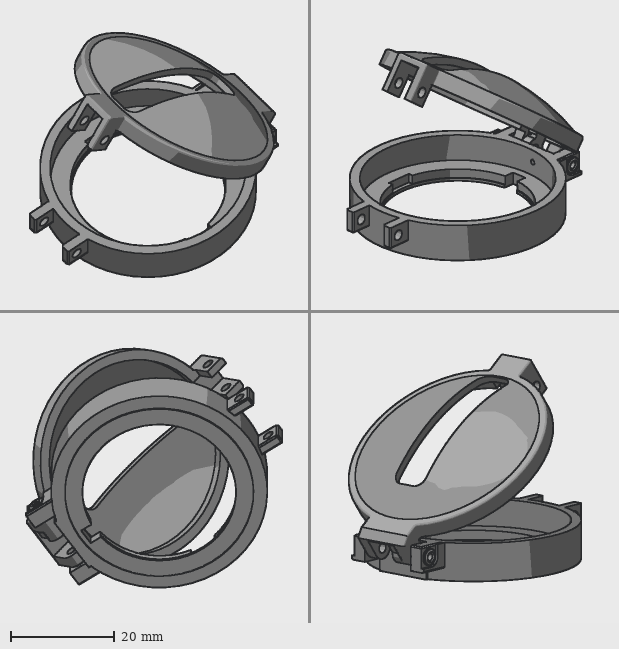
import cadquery as cq
import math

ring_radius = 20.95
pocket_radius = 19.0
ring_top = 7.9
foot_radius = 18.3
foot_height = 0.3
base_chamfer = 0.3

hinge_y = 22.85
hinge_z = 5.65
lug_reach = 25.05
hinge_reach = lug_reach - hinge_y
opening_angle = 36.1

floor_top = 2.45
opening_radius = 15.1
lip_radius = 14.9
lip_height = 0.65
key_width = 3.3
key_reach = 17.2
side_pocket_length = 5.55
side_pocket_reach = 15.85

latch_lug_inner = 4.0
latch_lug_outer = 6.0
latch_lug_height = 4.55
latch_hole_diameter = 2.1

knuckle_half_width = 6.0
hinge_lug_outer = 9.3
hinge_lug_bottom = 2.85
hinge_lug_root_y = 17.8
recess_depth = 0.65
recess_radius = 2.0
hub_diameter = 3.3
pin_hole_diameter = 1.4
hinge_clearance = 0.05
hinge_back_y = hinge_y - hinge_reach - hinge_clearance

spring_port_diameter = 1.0
spring_port_x = 2.0
spring_port_z = 5.35

rim_height = 3.3
rim_top = ring_top + rim_height
plate_thickness = 1.35
ceiling_z = rim_top - plate_thickness
lid_fillet = 0.5
dome_radius = 19.4
dome_height = 4.585
dome_thickness = 1.55

slot_half_width = 3.75
slot_corner = 2.2
slot_front = -18.75
slot_back = 12.85

tab_half_width = 3.9
tab_gap_half_width = 2.3
tab_back = -20.9
tab_root_fillet = 0.3
tab_bottom = hinge_z - 2.45

knuckle_gap_half_width = 3.3
knuckle_bore = 2.0
knuckle_bevel_length = 2.0
knuckle_bevel_drop = 1.0

spring_block_inner = -1.2
spring_block_front = 21.35
spring_block_back = lug_reach - 0.5
spring_block_step_z = 8.3
spring_block_step_depth = 0.3
spring_block_round = 0.99 * spring_block_step_depth
spring_hole_diameter = 0.3
spring_hole_x = -2.8
spring_hole_z = 8.0

tolerance = 0.005


def box(x0, x1, y0, y1, z0, z1):
    """Axis-aligned box between two corners."""
    return cq.Workplane("XY").box(x1 - x0, y1 - y0, z1 - z0, centered=False).translate((x0, y0, z0))


def disc(radius, z0, z1):
    """Upright cylinder on the ring axis."""
    return cq.Workplane("XY", origin=(0, 0, z0)).circle(radius).extrude(z1 - z0)


def rod(diameter, x0, x1, y, z):
    """Cylinder parallel to X."""
    return cq.Workplane("YZ", origin=(x0, y, z)).circle(diameter / 2).extrude(x1 - x0)


def both_sides(body):
    """The body together with its mirror image across X = 0."""
    return body.union(body.mirror("YZ"))


def make_ring():
    """Ring with its foot, flattened at the rear to clear the knuckle."""
    half = knuckle_half_width
    back = box(-half, half, pocket_radius - 1.05, hinge_back_y, foot_height, ring_top)
    behind = box(-half, half, hinge_back_y, lug_reach, 0, ring_top)
    ring = disc(ring_radius, foot_height, ring_top).cut(behind).union(back)
    ring = ring.union(disc(foot_radius, 0, foot_height))
    return ring.cut(disc(pocket_radius, floor_top, ring_top))


def floor_cuts():
    """Stepped opening in the floor with its rear notch and side pockets."""
    cuts = disc(lip_radius, 0, floor_top).union(disc(opening_radius, lip_height, floor_top))
    cuts = cuts.union(box(-key_width / 2, key_width / 2, 0, key_reach, 0, floor_top))
    half = side_pocket_length / 2
    return cuts.union(box(-side_pocket_reach, side_pocket_reach, -half, half, lip_height, floor_top))


def spring_port():
    """Hole parallel to Y through the rear of the ring."""
    return (
        cq.Workplane("XZ", origin=(spring_port_x, 0, spring_port_z))
        .circle(spring_port_diameter / 2)
        .extrude(-ring_radius)
    )


def latch_lug():
    root_y = -pocket_radius - 0.5
    lug = box(latch_lug_inner, latch_lug_outer, -lug_reach, root_y, ring_top - latch_lug_height, ring_top)
    lug = lug.faces("<Y").edges("|Z").chamfer(base_chamfer)
    lug = lug.faces("<Z").edges("not >Y").chamfer(base_chamfer)
    return lug.cut(rod(latch_hole_diameter, latch_lug_inner, latch_lug_outer, -hinge_y, hinge_z))


def hinge_lug():
    """Lug with a recess in its outer face around a chamfered hub."""
    seat_x = hinge_lug_outer - recess_depth
    core = box(knuckle_half_width, seat_x, hinge_lug_root_y, lug_reach, hinge_lug_bottom, ring_top)
    core = core.edges(">X and >Z").chamfer(base_chamfer)
    core = core.edges(">Y and >Z").chamfer(base_chamfer)

    recess_bottom = hinge_z - recess_radius
    recess_front = hinge_y - recess_radius
    pad = box(seat_x, hinge_lug_outer, hinge_lug_root_y, lug_reach, hinge_lug_bottom, ring_top)
    pad = pad.cut(box(seat_x, hinge_lug_outer, recess_front, lug_reach, hinge_z, ring_top))
    pad = pad.cut(box(seat_x, hinge_lug_outer, hinge_y, lug_reach, recess_bottom, hinge_z))
    pad = pad.cut(rod(2 * recess_radius, seat_x, hinge_lug_outer, hinge_y, hinge_z))
    lug = core.union(pad)
    lug = lug.edges("<Z and >X").chamfer(base_chamfer)

    hub = rod(hub_diameter, seat_x, hinge_lug_outer, hinge_y, hinge_z).faces(">X").chamfer(base_chamfer)
    pin_hole = rod(pin_hole_diameter, knuckle_half_width, hinge_lug_outer, hinge_y, hinge_z)
    lug = lug.union(hub).cut(pin_hole)
    hole_mouth = cq.selectors.BoxSelector(
        (hinge_lug_outer - 0.05, hinge_y - 1.05, hinge_z - 1.05),
        (hinge_lug_outer + 0.05, hinge_y + 1.05, hinge_z + 1.05),
    )
    return lug.edges(hole_mouth).chamfer(base_chamfer)


def make_base():
    lugs = both_sides(latch_lug()).union(both_sides(hinge_lug()))
    pocket = disc(pocket_radius, floor_top, ring_top)
    return make_ring().union(lugs.cut(pocket)).cut(floor_cuts()).cut(spring_port())


def knuckle_profile():
    """Side outline of the knuckle: bevelled at the top rear, round about the hinge axis."""
    front_y = hinge_y - hinge_reach
    return (
        cq.Workplane("YZ")
        .moveTo(pocket_radius, rim_top)
        .lineTo(lug_reach - knuckle_bevel_length, rim_top)
        .lineTo(lug_reach, rim_top - knuckle_bevel_drop)
        .lineTo(lug_reach, hinge_z)
        .threePointArc((hinge_y, hinge_z - hinge_reach), (front_y, hinge_z))
        .lineTo(front_y, ring_top)
        .lineTo(pocket_radius, ring_top)
        .close()
    )


def cap_midpoint(radius, z0, height):
    """Point halfway along the arc from the edge of a spherical cap to its apex."""
    sphere_radius = (radius**2 + height**2) / (2 * height)
    half_angle = math.asin(radius / sphere_radius) / 2
    drop = sphere_radius * (1 - math.cos(half_angle))
    return (sphere_radius * math.sin(half_angle), z0 + height - drop)


def cap(radius, z0, height):
    """Spherical cap standing on a flat circle."""
    return (
        cq.Workplane("XZ")
        .moveTo(0, z0)
        .lineTo(radius, z0)
        .threePointArc(cap_midpoint(radius, z0, height), (0, z0 + height))
        .close()
        .revolve(360, (0, 0, 0), (0, 1, 0))
    )


def upright_edges(body, half_width, y):
    """Vertical edges at x = +-half_width and the given y that reach the top of the rim."""

    def matches(edge):
        middle = edge.Center()
        reaches_top = edge.BoundingBox().zmax > rim_top - tolerance
        return reaches_top and abs(abs(middle.x) - half_width) < tolerance and abs(middle.y - y) < tolerance

    return body.edges("|Z").filter(matches)


def is_knuckle_side_edge(edge):
    """True on the bevel and rear edges of the two knuckle sides."""
    middle = edge.Center()
    is_flat_in_x = edge.BoundingBox().xlen < tolerance
    on_side = abs(abs(middle.x) - knuckle_half_width) < tolerance and is_flat_in_x
    return on_side and middle.y > lug_reach - knuckle_bevel_length and middle.z > hinge_z


def lid_body():
    """Rim, latch tab and knuckle as one solid with rounded edges."""
    half = tab_half_width
    body = disc(ring_radius, ring_top, rim_top)
    body = body.union(
        box(-half, half, -lug_reach, tab_back, tab_bottom, rim_top).union(
            box(-half, half, -lug_reach, -pocket_radius, ring_top, rim_top)
        )
    )
    body = body.union(knuckle_profile().extrude(knuckle_half_width, both=True))

    tab_root_y = -math.sqrt(ring_radius**2 - tab_half_width**2)
    knuckle_root_y = math.sqrt(ring_radius**2 - knuckle_half_width**2)
    body = upright_edges(body, tab_half_width, tab_root_y).fillet(tab_root_fillet)
    body = upright_edges(body, knuckle_half_width, knuckle_root_y).fillet(lid_fillet)

    top_edges = body.faces(">Z").edges("not >Y")
    tab_edges = upright_edges(body, tab_half_width, -lug_reach)
    knuckle_edges = body.edges().filter(is_knuckle_side_edge)
    return top_edges.add(tab_edges).add(knuckle_edges).fillet(lid_fillet)


def spring_block():
    """Block on the inside of one knuckle arm, with a rounded step and a hole for the spring end."""
    span = (-knuckle_gap_half_width, spring_block_inner)
    step_y = spring_block_front + spring_block_step_depth
    upper = box(*span, spring_block_front, spring_block_back, spring_block_step_z, ceiling_z)
    upper = upper.edges("<Y and <Z").fillet(spring_block_round)
    lower = box(*span, step_y, spring_block_back, hinge_z, spring_block_step_z)
    hub = rod(2 * hinge_reach, *span, hinge_y, hinge_z)
    hole = (
        cq.Workplane("XZ", origin=(spring_hole_x, step_y, spring_hole_z))
        .circle(spring_hole_diameter / 2)
        .extrude(-(lug_reach - step_y))
    )
    return upper.union(lower).union(hub).cut(hole)


def slot():
    """Long window through the dome with rounded corners."""
    return (
        cq.Workplane("XY", origin=(0, (slot_front + slot_back) / 2, 0))
        .rect(2 * slot_half_width, slot_back - slot_front)
        .extrude(2 * rim_top)
        .edges("|Z")
        .fillet(slot_corner)
    )


def make_lid():
    """Domed lid in its closed position."""
    lid = lid_body().union(cap(dome_radius, rim_top, dome_height))
    lid = lid.cut(disc(pocket_radius, ring_top, ceiling_z))
    lid = lid.cut(cap(pocket_radius, ceiling_z, dome_height + plate_thickness - dome_thickness))
    lid = lid.cut(box(-tab_gap_half_width, tab_gap_half_width, -lug_reach, 0, 0, ceiling_z))
    lid = lid.cut(box(-knuckle_gap_half_width, knuckle_gap_half_width, 0, lug_reach, 0, ceiling_z))
    lid = lid.union(spring_block()).cut(slot())
    lid = lid.cut(rod(knuckle_bore, -knuckle_half_width, knuckle_half_width, hinge_y, hinge_z))
    return lid.cut(rod(latch_hole_diameter, -tab_half_width, tab_half_width, -hinge_y, hinge_z))


open_lid = make_lid().rotate((0, hinge_y, hinge_z), (1, hinge_y, hinge_z), -opening_angle)
result = make_base().union(open_lid)